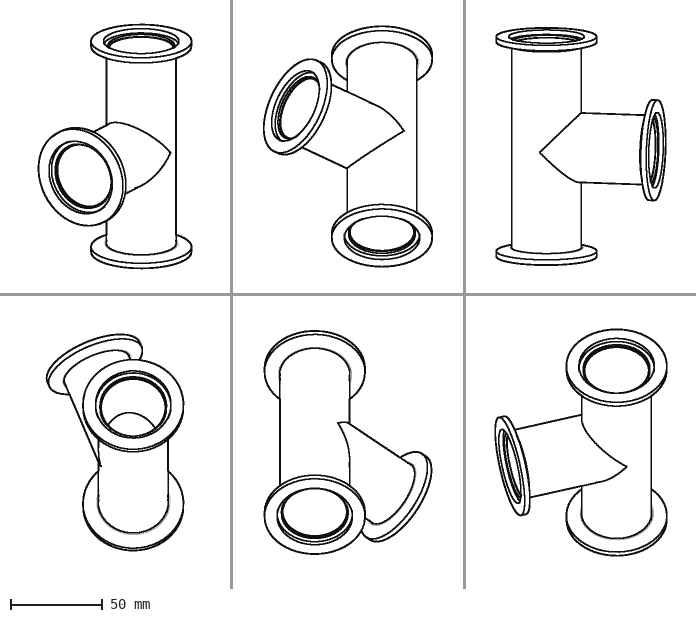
import cadquery as cq
import math

tube_od = 38.1
tube_id = 35.0
run_length = 122.0
branch_reach = 61.0

flange_od = 55.0
rim_thickness = 3.0
hub_od = 40.0
taper_angle = 15.0
seal_recess_d = 41.2
seal_recess_depth = 2.5
lip_bore_d = 36.4
lip_thickness = 1.3
socket_d = 38.4

flange_thickness = rim_thickness + (flange_od - hub_od) / 2 * math.tan(math.radians(taper_angle))
tube_end_inset = seal_recess_depth + lip_thickness

run_half = run_length / 2
branch_plane = cq.Plane(origin=(0, 0, 0), xDir=(1, 0, 0), normal=(0, -1, 0))


def flange(face_plane):
    """Tapered flange whose sealing face lies on face_plane, with the normal pointing outward."""
    profile = [
        (lip_bore_d / 2, -seal_recess_depth),
        (seal_recess_d / 2, -seal_recess_depth),
        (seal_recess_d / 2, 0),
        (flange_od / 2, 0),
        (flange_od / 2, -rim_thickness),
        (hub_od / 2, -flange_thickness),
        (socket_d / 2, -flange_thickness),
        (socket_d / 2, -tube_end_inset),
        (lip_bore_d / 2, -tube_end_inset),
    ]
    ring = cq.Workplane("XZ").polyline(profile).close().revolve(360, (0, 0, 0), (0, 1, 0))
    return ring.val().moved(face_plane.location)


def tube_between(plane, start, end):
    """Plain tube along the normal of plane, from start to end measured from its origin."""
    return (
        cq.Workplane(plane)
        .workplane(offset=start)
        .circle(tube_od / 2)
        .circle(tube_id / 2)
        .extrude(end - start)
    )


def mitre_wedge():
    """Right-angled wedge opening towards -Y; equal tubes crossing at 90 degrees meet on its faces."""
    section = [(0, 0), (-branch_reach, branch_reach), (-branch_reach, -branch_reach)]
    return cq.Workplane("YZ").polyline(section).close().extrude(tube_od, both=True)


def run_tube():
    """Straight tube along Z with a V-notch that receives the branch."""
    end = run_half - tube_end_inset
    return tube_between(cq.Plane.XY(), -end, end).cut(mitre_wedge())


def branch_tube():
    """Side tube along -Y with its inner end mitred to a point, filling the notch in the run tube."""
    return tube_between(branch_plane, 0, branch_reach - tube_end_inset).intersect(mitre_wedge())


ports = [
    ((0, 0, 1), run_half),
    ((0, 0, -1), run_half),
    ((0, -1, 0), branch_reach),
]

flanges = []
for direction, reach in ports:
    face_centre = cq.Vector(*direction) * reach
    face_plane = cq.Plane(origin=face_centre.toTuple(), xDir=(1, 0, 0), normal=direction)
    flanges.append(flange(face_plane))

result = cq.Compound.makeCompound([run_tube().val(), branch_tube().val(), *flanges])